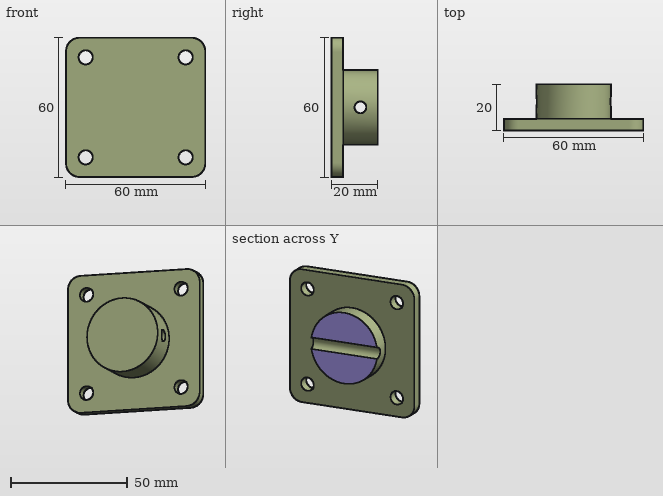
import cadquery as cq

plate_side = 60.0
plate_thickness = 5.0
corner_radius = 5.9

mount_hole_diameter = 6.0
mount_hole_spacing = 43.0

total_depth = 20.0
boss_diameter = 32.2
boss_length = total_depth - plate_thickness

pin_hole_diameter = 5.0
pin_hole_y = plate_thickness + boss_length / 2


def make_plate():
    """Rounded plate with its front face on Y = 0 and its back facing +Y."""
    return (
        cq.Workplane("XZ")
        .rect(plate_side, plate_side)
        .extrude(-plate_thickness)
        .edges("|Y")
        .fillet(corner_radius)
    )


def make_boss():
    """Solid cylinder reaching from the front face to the full depth."""
    return cq.Workplane("XZ").circle(boss_diameter / 2).extrude(-total_depth)


def make_mount_holes():
    """Four through-hole cutters on a square pattern."""
    return (
        cq.Workplane("XZ")
        .rect(mount_hole_spacing, mount_hole_spacing, forConstruction=True)
        .vertices()
        .circle(mount_hole_diameter / 2)
        .extrude(-plate_thickness)
    )


def make_pin_hole():
    """Cutter running along X through the whole boss."""
    return (
        cq.Workplane("YZ")
        .center(pin_hole_y, 0)
        .circle(pin_hole_diameter / 2)
        .extrude(boss_diameter, both=True)
    )


result = make_plate().union(make_boss()).cut(make_mount_holes()).cut(make_pin_hole())